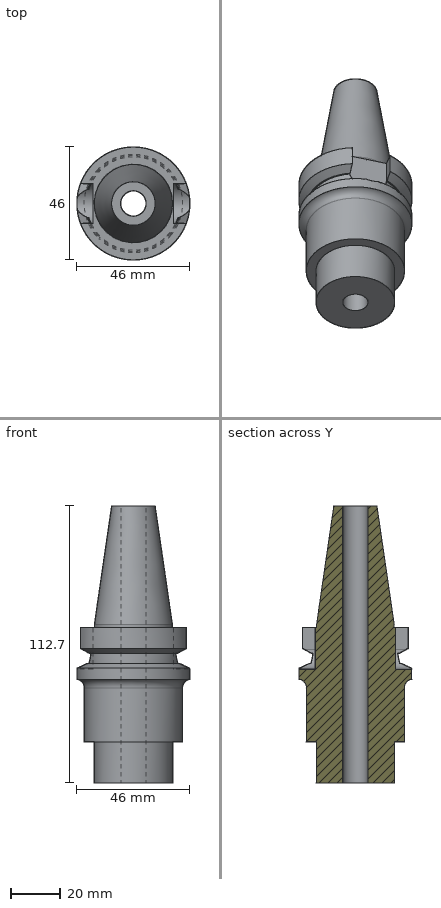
import cadquery as cq
import math

total_height = 112.74

taper_ratio = 7 / 24
gauge_diameter = 31.75
gauge_radius = gauge_diameter / 2
tip_height = 48.4
taper_end = 0.2
taper_tip_radius = gauge_radius - (tip_height - taper_end) * taper_ratio / 2
bore_diameter = 10.2

flange_radius = 46 / 2
flange_top = -1.0
flange_height = 21.1
flange_bottom = flange_top - flange_height
groove_floor_radius = 38 / 2
groove_step_radius = 39 / 2
groove_offset = 12.6
groove_middle = flange_top - groove_offset
groove_floor_width = 4.0
groove_wall_angle = 30
groove_wall_height = (flange_radius - groove_step_radius) * math.tan(math.radians(groove_wall_angle))
groove_half_floor = groove_floor_width / 2
groove_half_mouth = groove_half_floor + groove_wall_height

body_radius = 40 / 2
nose_radius = 32 / 2
body_fillet_radius = 3.5
nose_bottom = tip_height - total_height
body_bottom = -47.5

slot_width = 16.1
slot_depth = 17.0
slot_floor_distance = 16.4
slot_end_radius = slot_width / 2


def revolved_body():
    """Revolve the half section of the holder about the Z axis."""
    fillet_center_radius = body_radius + body_fillet_radius
    fillet_start_angle = math.acos((fillet_center_radius - flange_radius) / body_fillet_radius)
    fillet_end = flange_bottom - body_fillet_radius * math.sin(fillet_start_angle)
    fillet_middle_angle = (fillet_start_angle + math.pi) / 2
    profile = (
        cq.Workplane("XZ")
        .moveTo(0, tip_height)
        .lineTo(taper_tip_radius, tip_height)
        .lineTo(gauge_radius, taper_end)
        .lineTo(gauge_radius, flange_top)
        .lineTo(flange_radius, flange_top)
        .lineTo(flange_radius, groove_middle + groove_half_mouth)
        .lineTo(groove_step_radius, groove_middle + groove_half_floor)
        .lineTo(groove_floor_radius, groove_middle + groove_half_floor)
        .lineTo(groove_floor_radius, groove_middle - groove_half_floor)
        .lineTo(groove_step_radius, groove_middle - groove_half_floor)
        .lineTo(flange_radius, groove_middle - groove_half_mouth)
        .lineTo(flange_radius, flange_bottom)
        .threePointArc(
            (
                fillet_center_radius + body_fillet_radius * math.cos(fillet_middle_angle),
                fillet_end + body_fillet_radius * math.sin(fillet_middle_angle),
            ),
            (body_radius, fillet_end),
        )
        .lineTo(body_radius, body_bottom)
        .lineTo(nose_radius, body_bottom)
        .lineTo(nose_radius, nose_bottom)
        .lineTo(0, nose_bottom)
        .close()
    )
    return profile.revolve(360, (0, 0, 0), (0, 1, 0))


def drive_slot(side):
    """Round-ended slot cutter, open at the top and outward; side is -1 or +1 along X."""
    end_center = flange_top - slot_depth + slot_end_radius
    return (
        cq.Workplane("YZ", origin=(side * slot_floor_distance, 0, 0))
        .moveTo(-slot_end_radius, flange_top)
        .lineTo(-slot_end_radius, end_center)
        .threePointArc((0, flange_top - slot_depth), (slot_end_radius, end_center))
        .lineTo(slot_end_radius, flange_top)
        .close()
        .extrude(side * flange_radius)
    )


def through_bore():
    """Axial bore running the full height."""
    return (
        cq.Workplane("XY", origin=(0, 0, nose_bottom))
        .circle(bore_diameter / 2)
        .extrude(total_height)
    )


result = revolved_body()
for slot_side in (-1, 1):
    result = result.cut(drive_slot(slot_side))
result = result.cut(through_bore())